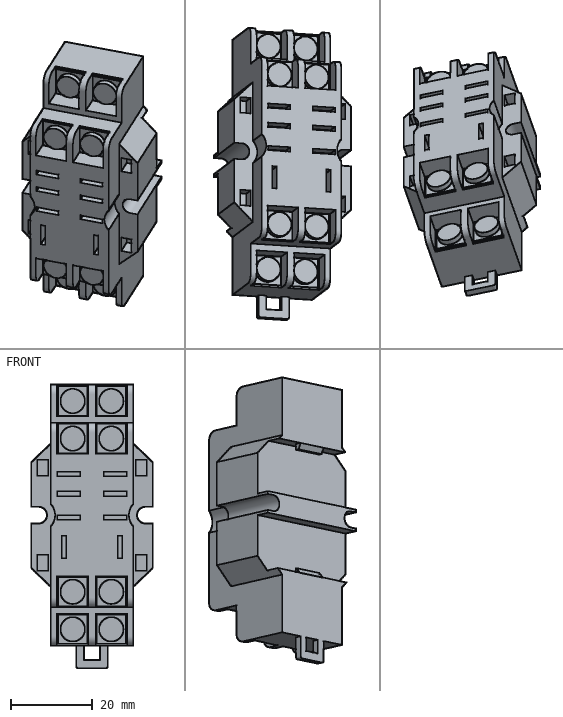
import cadquery as cq


body_half_width = 10.1
body_depth = 25.9
end_tier_depth = 16.2
body_top = 69.35
body_bottom = 5.5
mid_z = (body_top + body_bottom) / 2
body_half_height = (body_top - body_bottom) / 2
step_half_height = 22.55
corner_radius = 2.3

wing_half_width = 29.75 / 2
wing_front = 18.1
wing_root_half_height = 17.5
wing_tip_half_height = 12.9
hole_x = 13.05
hole_radius = 2.0
seat_radius = 4.0

wing_pocket_x = 12.0
wing_pocket_width = 2.65
wing_pocket_height = 3.9
wing_pocket_offset = 11.6
wing_pocket_depth = 4.0

recess_depth = 3.75
recess_top = 53.9
recess_bottom = 21.35
rib_half_height = 2.7
rib_setback = 0.1

clip_half_width = 3.9
clip_thickness = 1.65
clip_corner_radius = 0.5
clip_window_half_width = 1.95
clip_window_bottom = 2.1
hook_height = 1.45
hook_tip_setback = 0.75

terminal_x = 4.8
screw_x = 4.7
terminal_width = 7.8
terminal_depth = 5.0
end_screw_offset = 27.9
inner_screw_offset = 18.7
plate_size = 7.15
plate_thickness = 0.5
terminal_floor_gap = 3.75
screw_radius = 3.0
screw_height = 1.45

slot_depth = 4.0
slot_length = 5.7
slot_thickness = 1.1
slot_x = 5.7
slot_heights = (47.4, 42.65, 36.8)
coil_slot_x = 6.85
coil_slot_length = 5.55
coil_slot_z = 29.6

SIDES = (-1, 1)


def block(x0, x1, front, back, z0, z1):
    """Axis-aligned box; front and back are distances forward of the back plane."""
    size = (abs(x1 - x0), front - back, abs(z1 - z0))
    center = ((x0 + x1) / 2, -(front + back) / 2, (z0 + z1) / 2)
    return cq.Workplane("XY").box(*size).translate(center)


def centered_block(x, z, width, height, front, back):
    """Box centered on (x, z) as seen from the front."""
    return block(x - width / 2, x + width / 2, front, back, z - height / 2, z + height / 2)


def rod(x, z, radius, front, back):
    """Cylinder along Y between two distances forward of the back plane."""
    return cq.Workplane("XZ", origin=(x, -back, z)).circle(radius).extrude(front - back)


def make_body():
    def tier(depth, half_height):
        shape = block(-body_half_width, body_half_width, depth, 0,
                      mid_z - half_height, mid_z + half_height)
        return shape.faces("<Y").edges("|X").fillet(corner_radius)

    return tier(end_tier_depth, body_half_height).union(tier(body_depth, step_half_height))


def make_wings():
    outline = [
        (-body_half_width, mid_z - wing_root_half_height),
        (body_half_width, mid_z - wing_root_half_height),
        (wing_half_width, mid_z - wing_tip_half_height),
        (wing_half_width, mid_z + wing_tip_half_height),
        (body_half_width, mid_z + wing_root_half_height),
        (-body_half_width, mid_z + wing_root_half_height),
        (-wing_half_width, mid_z + wing_tip_half_height),
        (-wing_half_width, mid_z - wing_tip_half_height),
    ]
    return cq.Workplane("XZ").polyline(outline).close().extrude(wing_front)


def cut_rail_recess(part):
    half = wing_half_width
    rib_bottom = mid_z - rib_half_height
    rib_top = mid_z + rib_half_height
    part = part.cut(block(-half, half, recess_depth, 0, recess_bottom, rib_bottom))
    part = part.cut(block(-half, half, recess_depth, 0, rib_top, recess_top))
    return part.cut(block(-half, half, rib_setback, 0, rib_bottom, rib_top))


def cut_mounting_holes(part):
    """Open-ended screw slots through the wings and screw-head clearance in the body."""
    for side in SIDES:
        x = side * hole_x
        part = part.cut(rod(x, mid_z, hole_radius, wing_front, 0))
        part = part.cut(block(x, side * wing_half_width, wing_front, 0,
                              mid_z - hole_radius, mid_z + hole_radius))
        part = part.cut(rod(x, mid_z, seat_radius, body_depth, wing_front))
    return part


def cut_wing_pockets(part):
    for x_side in SIDES:
        for z_side in SIDES:
            part = part.cut(centered_block(
                x_side * wing_pocket_x, mid_z + z_side * wing_pocket_offset,
                wing_pocket_width, wing_pocket_height,
                wing_front, wing_front - wing_pocket_depth))
    return part


def add_terminal(part, x_side, z_side, screw_offset, tier_half_height, tier_front):
    """Bay open to the front and to the tier's end, holding a plate and a screw head."""
    bay_x = x_side * terminal_x
    plate_x = x_side * screw_x
    screw_z = mid_z + z_side * screw_offset
    floor_z = mid_z + z_side * (screw_offset - terminal_floor_gap)
    end_z = mid_z + z_side * tier_half_height
    bay_back = tier_front - terminal_depth
    plate_front = bay_back + plate_thickness
    half_width = terminal_width / 2
    part = part.cut(block(bay_x - half_width, bay_x + half_width, tier_front, bay_back,
                          floor_z, end_z))
    part = part.union(centered_block(plate_x, screw_z, plate_size, plate_size,
                                     plate_front, bay_back))
    return part.union(rod(plate_x, screw_z, screw_radius, plate_front + screw_height, bay_back))


def add_terminals(part):
    for x_side in SIDES:
        for z_side in SIDES:
            part = add_terminal(part, x_side, z_side, end_screw_offset,
                                body_half_height, end_tier_depth)
            part = add_terminal(part, x_side, z_side, inner_screw_offset,
                                step_half_height, body_depth)
    return part


def cut_contact_slots(part):
    slot_back = body_depth - slot_depth
    for side in SIDES:
        for z in slot_heights:
            part = part.cut(centered_block(side * slot_x, z, slot_length, slot_thickness,
                                           body_depth, slot_back))
        part = part.cut(centered_block(side * coil_slot_x, coil_slot_z, slot_thickness,
                                       coil_slot_length, body_depth, slot_back))
    return part


def make_hook(profile):
    """Hook with a (y, z) profile, as wide as the clip."""
    return cq.Workplane("YZ").polyline(profile).close().extrude(clip_half_width, both=True)


def add_rail_clip(part):
    tab = block(-clip_half_width, clip_half_width, clip_thickness, 0, 0, body_bottom)
    tab = tab.faces("<Z").edges("|Y").fillet(clip_corner_radius)
    tab = tab.cut(block(-clip_window_half_width, clip_window_half_width, clip_thickness, 0,
                        clip_window_bottom, body_bottom))
    upper_hook = make_hook([
        (0, recess_top),
        (-hook_tip_setback, recess_top - hook_height),
        (-clip_thickness, recess_top - hook_height),
        (-clip_thickness, recess_top),
    ])
    lower_hook = make_hook([
        (hook_height - clip_thickness, recess_bottom),
        (-clip_thickness, recess_bottom + hook_height),
        (-clip_thickness, recess_bottom),
    ])
    return part.union(tab).union(upper_hook).union(lower_hook)


result = make_body().union(make_wings())
result = cut_rail_recess(result)
result = cut_mounting_holes(result)
result = cut_wing_pockets(result)
result = add_terminals(result)
result = cut_contact_slots(result)
result = add_rail_clip(result)